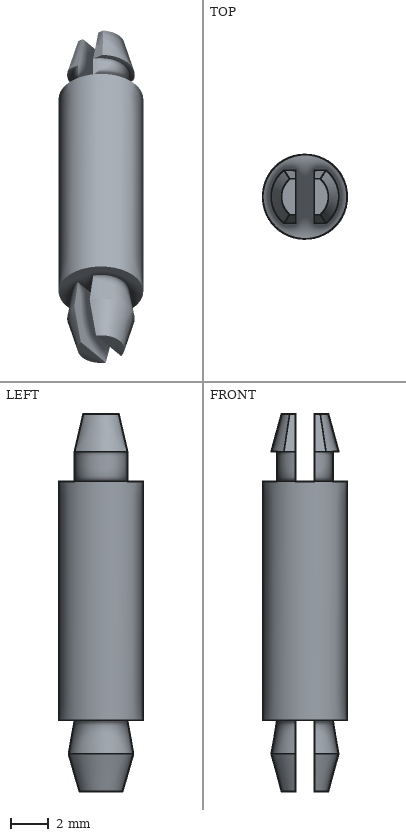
import cadquery as cq
import math

total_length = 20.1
body_diameter = 4.5
upper_pin_length = 3.6
lower_pin_length = 3.8
stem_diameter = 3.0
barb_diameter = 3.6
tip_diameter = 2.5
barb_length = 2.0
slot_width = 1.0
upper_tip_flat_width = 1.89

body_bottom = lower_pin_length
body_top = total_length - upper_pin_length
upper_barb_base = total_length - barb_length
upper_base_flat_width = math.sqrt(stem_diameter**2 - slot_width**2)


def revolved_profile(sections):
    """Solid of revolution about Z through (diameter, height) sections."""
    points = [(diameter / 2, height) for diameter, height in sections]
    points = [(0, sections[0][1])] + points + [(0, sections[-1][1])]
    return cq.Workplane("XZ").polyline(points).close().revolve(360, (0, 0), (0, 1))


def slot_cutter(bottom, height):
    """Slot through the full pin along Y, splitting it into two prongs."""
    return (
        cq.Workplane("XY")
        .workplane(offset=bottom)
        .rect(slot_width, body_diameter)
        .extrude(height)
    )


def upper_pin():
    """Straight stem with a stepped barb whose Y sides taper as flats."""
    stem = revolved_profile([(stem_diameter, body_top), (stem_diameter, upper_barb_base)])
    cone = revolved_profile([(barb_diameter, upper_barb_base), (tip_diameter, total_length)])
    flat_sided_wedge = (
        cq.Workplane("YZ")
        .polyline([
            (-upper_base_flat_width / 2, upper_barb_base),
            (upper_base_flat_width / 2, upper_barb_base),
            (upper_tip_flat_width / 2, total_length),
            (-upper_tip_flat_width / 2, total_length),
        ])
        .close()
        .extrude(body_diameter / 2, both=True)
    )
    barb = cone.intersect(flat_sided_wedge)
    return stem.union(barb).cut(slot_cutter(body_top, upper_pin_length))


def lower_pin():
    """Double-tapered barb, widest where the two cones meet."""
    pin = revolved_profile([
        (tip_diameter, 0),
        (barb_diameter, barb_length),
        (stem_diameter, body_bottom),
    ])
    return pin.cut(slot_cutter(0, lower_pin_length))


body = revolved_profile([(body_diameter, body_bottom), (body_diameter, body_top)])
result = body.union(upper_pin()).union(lower_pin())